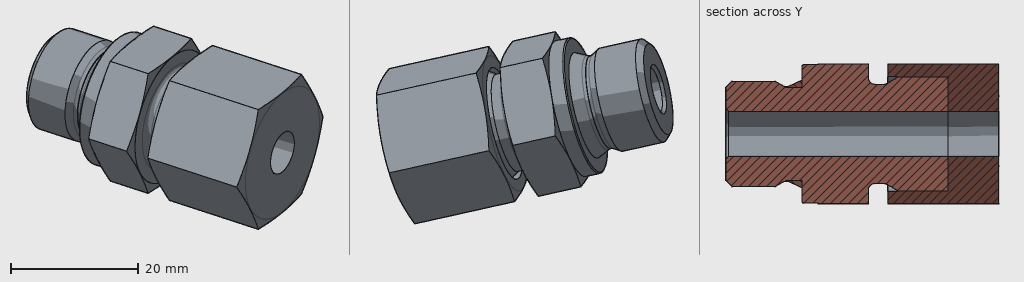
import cadquery as cq
import math

total_length = 43.0
across_flats = 22.0
bore_diameter = 7.0
bore_mouth_diameter = 8.0

stud_radius = 16.66 / 2
stud_tip_chamfer = 1.0
stud_thread_end = 7.8
groove_radius = 7.5
groove_fillet = 1.25
flank_angle = math.radians(30)

seal_end = 12.0
seal_seat_radius = 14.7 / 2
seal_cone_angle = math.radians(25)

collar_radius = 10.95
collar_chamfer = 0.2
hex_start = 14.5
hex_end = 22.5
hex_chamfer_angle = math.radians(15)
hex_face_radius = 10.9

neck_radius = 15.7 / 2
neck_fillet = 1.0
neck_end = 25.1
shank_radius = 9.0
shank_end = 35.0

nut_start = 25.5

flank_slope = math.tan(flank_angle)
flank_end_radius = groove_radius + groove_fillet * (1 - math.cos(flank_angle))
flank_end = stud_thread_end + (stud_radius - flank_end_radius) / flank_slope
seal_start = flank_end + groove_fillet * math.sin(flank_angle)
seal_cone_start = seal_start + groove_fillet * math.sin(seal_cone_angle)
seal_cone_start_radius = groove_radius + groove_fillet * (1 - math.cos(seal_cone_angle))
seal_outer_radius = seal_cone_start_radius + (seal_end - seal_cone_start) * math.tan(seal_cone_angle)
neck_start = hex_end + neck_fillet
neck_shoulder_radius = neck_radius + neck_fillet
neck_fillet_middle = (
    neck_start - neck_fillet * math.sin(math.pi / 4),
    neck_shoulder_radius - neck_fillet * math.cos(math.pi / 4),
)
thread_start = neck_end + (shank_radius - neck_radius) / flank_slope
bore_radius = bore_diameter / 2
bore_chamfer = (bore_mouth_diameter - bore_diameter) / 2
corner_radius = across_flats / math.sqrt(3)


def revolve_profile(profile):
    """Turn a closed half profile, drawn in XY, about the X axis."""
    return profile.close().revolve(360, (0, 0, 0), (1, 0, 0))


def chamfered_hexagon(start, end):
    """Hexagonal prism along X, flats facing +-Z, corners turned down at both ends."""
    prism = (
        cq.Workplane("YZ", origin=(start, 0, 0))
        .polygon(6, 2 * corner_radius)
        .extrude(end - start)
    )
    depth = (corner_radius - hex_face_radius) * math.tan(hex_chamfer_angle)
    envelope = revolve_profile(
        cq.Workplane("XY")
        .moveTo(start, 0)
        .lineTo(start, hex_face_radius)
        .lineTo(start + depth, corner_radius)
        .lineTo(end - depth, corner_radius)
        .lineTo(end, hex_face_radius)
        .lineTo(end, 0)
    )
    return prism.intersect(envelope)


def cylinder(start, end, radius):
    """Solid cylinder along the fitting axis."""
    return cq.Workplane("YZ", origin=(start, 0, 0)).circle(radius).extrude(end - start)


def groove_point(angle):
    """Point on the groove fillet, the angle measured from its lowest point towards +X."""
    return (
        seal_start + groove_fillet * math.sin(angle),
        groove_radius + groove_fillet * (1 - math.cos(angle)),
    )


def make_body():
    """Stud body: spigot, groove, seal seat, collar, hexagon, neck and shank, bored through."""
    turned = revolve_profile(
        cq.Workplane("XY")
        .moveTo(0, 0)
        .lineTo(0, stud_radius - stud_tip_chamfer)
        .lineTo(stud_tip_chamfer, stud_radius)
        .lineTo(stud_thread_end, stud_radius)
        .lineTo(*groove_point(-flank_angle))
        .threePointArc(groove_point(-flank_angle / 2), groove_point(0))
        .lineTo(seal_start, seal_seat_radius)
        .lineTo(seal_end, seal_seat_radius)
        .lineTo(seal_end, collar_radius - collar_chamfer)
        .lineTo(seal_end + collar_chamfer, collar_radius)
        .lineTo(hex_end, collar_radius)
        .lineTo(hex_end, neck_shoulder_radius)
        .threePointArc(neck_fillet_middle, (neck_start, neck_radius))
        .lineTo(neck_end, neck_radius)
        .lineTo(thread_start, shank_radius)
        .lineTo(shank_end, shank_radius)
        .lineTo(shank_end, 0)
    )
    bore = cylinder(0, shank_end, bore_radius)
    bore_mouth = revolve_profile(
        cq.Workplane("XY")
        .moveTo(0, 0)
        .lineTo(0, bore_radius + bore_chamfer)
        .lineTo(bore_chamfer, bore_radius)
        .lineTo(bore_chamfer, 0)
    )
    return turned.union(chamfered_hexagon(hex_start, hex_end)).cut(bore).cut(bore_mouth)


def make_seal():
    """Sealing ring on its seat, its fillet and cone rising from the groove to the collar."""
    return revolve_profile(
        cq.Workplane("XY")
        .moveTo(seal_start, seal_seat_radius)
        .lineTo(*groove_point(0))
        .threePointArc(groove_point(seal_cone_angle / 2), groove_point(seal_cone_angle))
        .lineTo(seal_end, seal_outer_radius)
        .lineTo(seal_end, seal_seat_radius)
    )


def make_nut():
    """Union nut, hollowed to fit the shank and bored through."""
    socket = revolve_profile(
        cq.Workplane("XY")
        .moveTo(nut_start, 0)
        .lineTo(nut_start, shank_radius)
        .lineTo(shank_end, shank_radius)
        .lineTo(shank_end, 0)
    )
    bore = cylinder(shank_end, total_length, bore_radius)
    return chamfered_hexagon(nut_start, total_length).cut(socket).cut(bore)


body = make_body()
seal = make_seal()
nut = make_nut()

result = cq.Compound.makeCompound([body.val(), seal.val(), nut.val()])